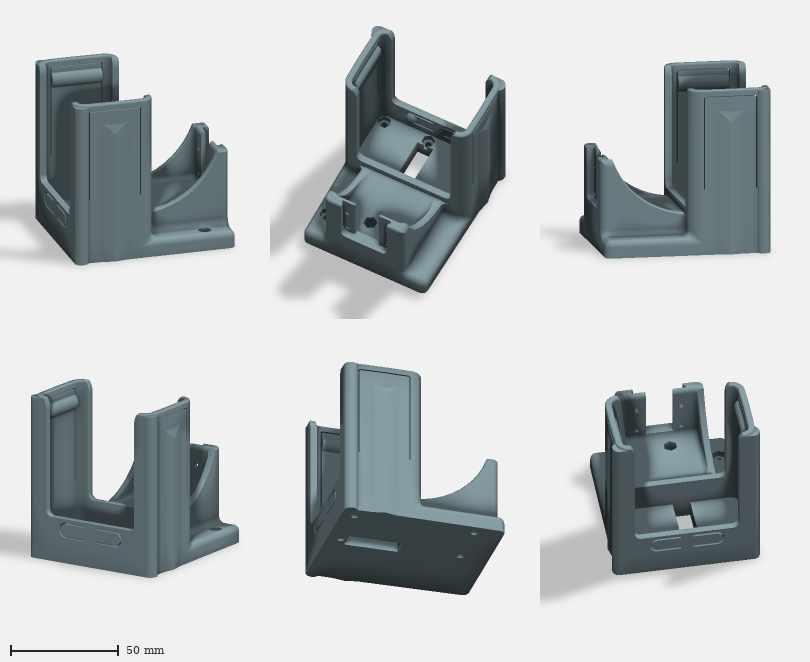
import cadquery as cq
import math

LENGTH = 78.0
HEIGHT = 78.0
WIDTH = 69.5
WALL = 3.15

CRADLE_DEPTH = 38.3
CRADLE_MID_Y = CRADLE_DEPTH / 2
CRADLE_HALF = 33.15
SIDE_ANGLE = 1.0
CORNER_R = 6.3
FLOOR_Z = 8.0
RIM_R = 0.95

LOBE_R = 3.35
LOBE_Y = 3.25

WINDOW_HALF = 24.6
WINDOW_Z = 21.1
WINDOW_R = 3.1
POST_ROUND_X = 1.95
POST_ROUND_Z = 5.0

BASE_H = 8.25
OUTER_R = 3.0
INNER_R = 2.8
TOWER_HALF = 20.9
TOWER_H = 44.1
POCKET_HALF = 17.8
POCKET_Z = 17.8
POCKET_BACK_Y = 72.5
POCKET_R = 2.0
SWEEP_R = 39.5
SWEEP_Y = 35.1
SWEEP_Z = 57.2
BEVEL_WIDTH = 1.0
BEVEL_RISE = 0.6
TOP_BEVEL = 0.6
INNER_SWEEP_R = 0.5

CLIP_THICK = 2.05
CLIP_GAP_HALF = 6.4
LEDGE_Z = 19.7
NOTCH_HALF = 11.9
NOTCH_R = 2.6
CLIP_SCREW_X = 10.5
CLIP_SCREW_Z = (22.2, 34.7)
CLIP_SCREW_D = 2.1
NUT_SLOT_HALF = 2.2
NUT_SLOT_DEPTH = 1.35

SLIT = 0.6
PANEL_Y = (6.5, 31.8)
PANEL_Z = (30.8, 75.0)
PANEL_R = 1.2
BUMP_Z = 68.3
BUMP_HALF = 3.7
BUMP_RISE = 2.3
RIB_HALF = 6.3
RIB_RISE = 1.0
RIB_FLANK_RISE = 0.4
RIB_TIP_HALF = 0.4
RIB_TOP_Z = 68.1
RIB_SLOPE = 5.2

TONGUE_ROOT_X = 2.9
TONGUE_TIP_X = 17.6
TONGUE_Z = 15.8
TONGUE_SLOT_R = 3.7
TONGUE_SLIT = 0.85
DIMPLE_X = 13.9
DIMPLE_R = 3.0
DIMPLE_RISE = 1.9

SLOT_X = (-0.55, 7.75)
SLOT_Y = (9.4, CRADLE_DEPTH - WALL)
SCREW_X = (3.6, 26.6)
SCREW_Y = (6.6, 64.4)
SCREW_D = 3.2
NUT_FLATS = 5.7
NUT_SEAT_Z = 5.0

TINY = 0.05
TAN_SIDE = math.tan(math.radians(SIDE_ANGLE))


def box(x0, x1, y0, y1, z0, z1):
    return cq.Workplane("XY").box(x1 - x0, y1 - y0, z1 - z0, centered=False).translate((x0, y0, z0))


def side_x(y):
    """Half width of the tapered sides at a given Y."""
    return CRADLE_HALF - TAN_SIDE * abs(y - CRADLE_MID_Y)


def tapered_plan(y0, y1, inset, z0, z1):
    """Prism between y0 and y1 whose sides follow the taper, moved inward by inset."""
    half = [(side_x(y) - inset, y) for y in (y0, CRADLE_MID_Y, y1)]
    points = half + [(-x, y) for x, y in reversed(half)]
    return cq.Workplane("XY", origin=(0, 0, z0)).polyline(points).close().extrude(z1 - z0)


def vertical_edges(solid):
    """Vertical corner edges of a prism, leaving out the blunt ones where its sides bow."""
    low = (-WIDTH, CRADLE_MID_Y - TINY, 0)
    high = (WIDTH, CRADLE_MID_Y + TINY, HEIGHT)
    bow = cq.selectors.BoxSelector(low, high)
    return solid.edges(cq.selectors.StringSyntaxSelector("|Z") - bow)


def both_sides(solid):
    return solid.union(solid.mirror("YZ"))


def rear_body():
    """Base and tower with one outline along Y, rounded at the back and on the shoulders."""
    outline = (
        cq.Workplane("XZ", origin=(0, LENGTH, 0))
        .moveTo(-CRADLE_HALF, 0)
        .lineTo(CRADLE_HALF, 0)
        .lineTo(CRADLE_HALF, BASE_H)
        .lineTo(TOWER_HALF + INNER_R, BASE_H)
        .radiusArc((TOWER_HALF, BASE_H + INNER_R), INNER_R)
        .lineTo(TOWER_HALF, TOWER_H)
        .lineTo(-TOWER_HALF, TOWER_H)
        .lineTo(-TOWER_HALF, BASE_H + INNER_R)
        .radiusArc((-TOWER_HALF - INNER_R, BASE_H), INNER_R)
        .lineTo(-CRADLE_HALF, BASE_H)
        .close()
        .extrude(LENGTH - CRADLE_MID_Y)
    )
    body = outline.intersect(tapered_plan(0, LENGTH, 0, 0, HEIGHT))

    def is_rounded(edge):
        center = edge.Center()
        at_back = center.y > LENGTH - TINY and TINY < center.z < TOWER_H - TINY
        along_y = edge.Length() > LENGTH / 2 and center.y < LENGTH - TINY
        on_base = abs(center.z - BASE_H) < TINY
        outside = abs(center.x) > TOWER_HALF + OUTER_R + INNER_R
        shoulder = along_y and on_base and outside
        left_top = along_y and abs(center.z - TOWER_H) < TINY and center.x < 0
        return at_back or shoulder or left_top

    rounded = [edge for edge in body.edges().vals() if is_rounded(edge)]
    return body.newObject(rounded).fillet(OUTER_R)


def top_bevel():
    """Cutter that bevels the back and right upper edges of the tower."""
    slab = box(-TOWER_HALF, TOWER_HALF, 0, LENGTH, TOWER_H - 2 * TOP_BEVEL, TOWER_H)
    bevelled = slab.edges("|Z and >X and >Y").fillet(OUTER_R)
    bevelled = bevelled.faces(">Z").edges("not (<X or <Y)").chamfer(TOP_BEVEL)
    return slab.cut(bevelled)


def cradle_block():
    block = tapered_plan(0, CRADLE_DEPTH, 0, 0, HEIGHT)
    return vertical_edges(block).fillet(CORNER_R)


def cradle_hollow():
    hollow = tapered_plan(WALL, CRADLE_DEPTH - WALL, WALL, FLOOR_Z, HEIGHT)
    return vertical_edges(hollow).fillet(CORNER_R - WALL)


def blend_bodies(body):
    """Fillet the inside corner where the rear body meets the back of the cradle."""

    def is_joint(edge):
        ends = (edge.startPoint(), edge.endPoint())
        on_back = all(abs(end.y - CRADLE_DEPTH) < TINY for end in ends)
        center = edge.Center()
        below_top = BASE_H - TINY < center.z < TOWER_H - OUTER_R
        on_flat = abs(center.x) < CRADLE_HALF - CORNER_R
        return on_back and below_top and on_flat

    return body.newObject([edge for edge in body.edges().vals() if is_joint(edge)]).fillet(INNER_R)


def tower_pocket():
    pocket = box(-POCKET_HALF, POCKET_HALF, CRADLE_DEPTH, POCKET_BACK_Y, POCKET_Z, HEIGHT)
    back_corners = pocket.edges("|Z and >Y").fillet(POCKET_R)
    return back_corners.faces("<Z").edges("not <Y").fillet(POCKET_R)


def tower_sweep():
    """Round scoop about an X axis, flared at the outer faces to bevel their edges."""
    reach = TOWER_HALF + INNER_R
    flare_r = SWEEP_R + BEVEL_RISE
    scoop = (
        cq.Workplane("XY", origin=(0, SWEEP_Y, SWEEP_Z))
        .polyline([
            (-reach, 0),
            (-reach, flare_r),
            (-TOWER_HALF, flare_r),
            (-TOWER_HALF + BEVEL_WIDTH, SWEEP_R),
            (TOWER_HALF - BEVEL_WIDTH, SWEEP_R),
            (TOWER_HALF, flare_r),
            (reach, flare_r),
            (reach, 0),
        ])
        .close()
        .revolve(360, (0, 0, 0), (1, 0, 0))
    )
    return scoop.intersect(box(-reach, reach, CRADLE_DEPTH, LENGTH, 0, 2 * HEIGHT))


def inner_sweep_edges(body):
    """Edges where the scoop meets the flat sides of the pocket."""

    def is_inner(edge):
        middle = edge.positionAt(0.5)
        on_scoop = abs(math.hypot(middle.y - SWEEP_Y, middle.z - SWEEP_Z) - SWEEP_R) < TINY
        return on_scoop and abs(abs(middle.x) - POCKET_HALF) < TINY

    return body.newObject([edge for edge in body.edges().vals() if is_inner(edge)])


def clip_flare():
    """Cutter that rounds the upper inside edge of the back wall and its two corners."""
    corner_x = POCKET_HALF - POCKET_R
    corner_y = POCKET_BACK_Y - POCKET_R
    root_z = TOWER_H - CLIP_THICK
    diagonal = CLIP_THICK * math.sqrt(0.5)

    def profile(plane, x):
        return (
            cq.Workplane(plane, origin=(x, corner_y, root_z))
            .moveTo(0, 0)
            .lineTo(POCKET_R, 0)
            .threePointArc((POCKET_R + CLIP_THICK - diagonal, diagonal), (POCKET_R + CLIP_THICK, CLIP_THICK))
            .lineTo(0, CLIP_THICK)
            .close()
        )

    straight = profile("YZ", -corner_x).extrude(2 * corner_x)
    corner = profile("XZ", corner_x).revolve(90, (0, 0, 0), (0, 1, 0))
    return straight.union(both_sides(corner))


def back_opening():
    """Gap between the clips, with a wider round-cornered notch behind them."""
    gap = box(-CLIP_GAP_HALF, CLIP_GAP_HALF, POCKET_BACK_Y - POCKET_R, LENGTH, LEDGE_Z, HEIGHT)
    notch = box(-NOTCH_HALF, NOTCH_HALF, POCKET_BACK_Y + CLIP_THICK, LENGTH, LEDGE_Z, HEIGHT)
    return gap.union(notch.edges("|Y and <Z").fillet(NOTCH_R))


def clip_fastening(x):
    """Screw holes through one clip and the nut slot open at its top."""
    slot_y = POCKET_BACK_Y + CLIP_THICK
    bottom_z = LEDGE_Z + NOTCH_R
    cutter = box(x - NUT_SLOT_HALF, x + NUT_SLOT_HALF, slot_y, slot_y + NUT_SLOT_DEPTH, bottom_z, HEIGHT)
    for z in CLIP_SCREW_Z:
        hole = cq.Workplane("XZ", origin=(x, LENGTH, z)).circle(CLIP_SCREW_D / 2)
        cutter = cutter.union(hole.extrude(LENGTH - POCKET_BACK_Y + POCKET_R))
    return cutter


def front_plate():
    """Right half of the plate behind the front face, with its rounded end."""
    center_x = WIDTH / 2 - LOBE_R
    flat_x = center_x + math.sqrt(LOBE_R ** 2 - LOBE_Y ** 2)
    diagonal = LOBE_R * math.sqrt(0.5)
    plate = (
        cq.Workplane("XY")
        .lineTo(flat_x, 0)
        .threePointArc((center_x + diagonal, LOBE_Y - diagonal), (WIDTH / 2, LOBE_Y))
        .threePointArc((center_x + diagonal, LOBE_Y + diagonal), (center_x, LOBE_Y + LOBE_R))
        .lineTo(0, LOBE_Y + LOBE_R)
        .close()
        .extrude(HEIGHT - RIM_R)
    )
    return plate.cut(cradle_hollow())


def window():
    """Opening through the front and back walls, flaring outwards at the post tops."""
    flare_x = WINDOW_HALF + POST_ROUND_X
    flare_z = HEIGHT - POST_ROUND_Z
    flare_r = (POST_ROUND_X ** 2 + POST_ROUND_Z ** 2) / (2 * POST_ROUND_X)
    half_angle = math.asin(POST_ROUND_Z / flare_r) / 2
    bulge_x = WINDOW_HALF + flare_r * (1 - math.cos(half_angle))
    bulge_z = flare_z + flare_r * math.sin(half_angle)
    return (
        cq.Workplane("XZ", origin=(0, CRADLE_DEPTH, 0))
        .moveTo(-WINDOW_HALF, WINDOW_Z)
        .lineTo(WINDOW_HALF, WINDOW_Z)
        .lineTo(WINDOW_HALF, flare_z)
        .threePointArc((bulge_x, bulge_z), (flare_x, HEIGHT))
        .lineTo(-flare_x, HEIGHT)
        .threePointArc((-bulge_x, bulge_z), (-WINDOW_HALF, flare_z))
        .close()
        .extrude(CRADLE_DEPTH)
        .edges("|Y and <Z")
        .fillet(WINDOW_R)
    )


def panel_slits():
    """U-shaped slits, open downwards, that free a panel in both side walls."""
    y0, y1 = PANEL_Y
    z0, z1 = PANEL_Z
    outer = box(-WIDTH, WIDTH, y0, y1, z0, z1).edges("|X and >Z").fillet(PANEL_R)
    inner = box(-WIDTH, WIDTH, y0 + SLIT, y1 - SLIT, z0, z1 - SLIT)
    inner = inner.edges("|X and >Z").fillet(PANEL_R - SLIT)
    return outer.cut(inner)


def panel_bump():
    """Rounded bar along the inside of one sprung panel."""
    y0 = PANEL_Y[0] + SLIT
    y1 = PANEL_Y[1] - SLIT
    wall_x = CRADLE_HALF - WALL
    arc_r = (BUMP_HALF ** 2 + BUMP_RISE ** 2) / (2 * BUMP_RISE)
    flank_angle = math.asin(BUMP_HALF / arc_r) / 2
    flank_x = wall_x - BUMP_RISE + arc_r * (1 - math.cos(flank_angle))
    flank_z = arc_r * math.sin(flank_angle)
    root_x = CRADLE_HALF - WALL / 2
    return (
        cq.Workplane("XZ", origin=(0, y1, 0))
        .moveTo(root_x, BUMP_Z - BUMP_HALF)
        .lineTo(wall_x, BUMP_Z - BUMP_HALF)
        .threePointArc((flank_x, BUMP_Z - flank_z), (wall_x - BUMP_RISE, BUMP_Z))
        .threePointArc((flank_x, BUMP_Z + flank_z), (wall_x, BUMP_Z + BUMP_HALF))
        .lineTo(root_x, BUMP_Z + BUMP_HALF)
        .close()
        .extrude(y1 - y0)
    )


def side_rib():
    """Upright rib with hollowed flanks and a sloped upper end."""
    root_x = CRADLE_HALF - WALL / 2
    foot_x = side_x(CRADLE_MID_Y + RIB_HALF)
    tip_x = CRADLE_HALF + RIB_RISE
    flank_x = CRADLE_HALF + RIB_FLANK_RISE
    flank_y = RIB_HALF / 2
    rib = (
        cq.Workplane("XY", origin=(0, CRADLE_MID_Y, 0))
        .moveTo(root_x, -RIB_HALF)
        .lineTo(foot_x, -RIB_HALF)
        .threePointArc((flank_x, -flank_y), (tip_x, -RIB_TIP_HALF))
        .lineTo(tip_x, RIB_TIP_HALF)
        .threePointArc((flank_x, flank_y), (foot_x, RIB_HALF))
        .lineTo(root_x, RIB_HALF)
        .close()
        .extrude(RIB_TOP_Z)
    )
    slope = (
        cq.Workplane("XZ", origin=(0, CRADLE_DEPTH, 0))
        .polyline([(foot_x, RIB_TOP_Z), (tip_x, RIB_TOP_Z - RIB_SLOPE), (tip_x, RIB_TOP_Z)])
        .close()
        .extrude(CRADLE_DEPTH)
    )
    return rib.cut(slope)


def tongue_outline(radius):
    """Prism through the front wall: straight from the root, round at the tip."""
    center_x = TONGUE_TIP_X - TONGUE_SLOT_R
    return (
        cq.Workplane("XZ", origin=(0, WALL, TONGUE_Z))
        .moveTo(TONGUE_ROOT_X, -radius)
        .lineTo(center_x, -radius)
        .threePointArc((center_x + radius, 0), (center_x, radius))
        .lineTo(TONGUE_ROOT_X, radius)
        .close()
        .extrude(WALL)
    )


def tongue_slit():
    return tongue_outline(TONGUE_SLOT_R).cut(tongue_outline(TONGUE_SLOT_R - TONGUE_SLIT))


def tongue_dimple():
    """Domed bump on the inside of one tongue."""
    ball_y = WALL + DIMPLE_RISE - DIMPLE_R
    ball = cq.Workplane("XY").sphere(DIMPLE_R).translate((DIMPLE_X, ball_y, TONGUE_Z))
    return ball.intersect(box(0, WIDTH, WALL / 2, CRADLE_DEPTH, 0, HEIGHT))


def screw_and_nut(x, y):
    """Screw hole with a hexagonal nut recess; the front right recess lies a quarter turn round."""
    nut_corners = NUT_FLATS / math.cos(math.pi / 6)
    screw = cq.Workplane("XY").circle(SCREW_D / 2).extrude(HEIGHT)
    nut = cq.Workplane("XY", origin=(0, 0, NUT_SEAT_Z)).polygon(6, nut_corners).extrude(TOWER_H)
    front_right = x == max(SCREW_X) and y == min(SCREW_Y)
    turn = 0 if front_right else 90
    return screw.union(nut).rotate((0, 0, 0), (0, 0, 1), turn).translate((x, y, 0))


result = blend_bodies(rear_body().cut(top_bevel()).union(cradle_block()))
result = result.cut(tower_pocket())
result = result.cut(tower_sweep())
result = inner_sweep_edges(result).fillet(INNER_SWEEP_R)
result = result.cut(clip_flare())
result = result.cut(back_opening())
for sign in (-1, 1):
    result = result.cut(clip_fastening(sign * CLIP_SCREW_X))

result = result.cut(cradle_hollow())
result = result.faces(">Z").edges().fillet(RIM_R)
result = result.union(both_sides(front_plate())).cut(window())
result = result.union(both_sides(side_rib().union(panel_bump()))).cut(panel_slits())
result = result.union(both_sides(tongue_dimple())).cut(both_sides(tongue_slit()))

result = result.cut(box(*SLOT_X, *SLOT_Y, 0, FLOOR_Z))
for screw_x in SCREW_X:
    for screw_y in SCREW_Y:
        result = result.cut(screw_and_nut(screw_x, screw_y))